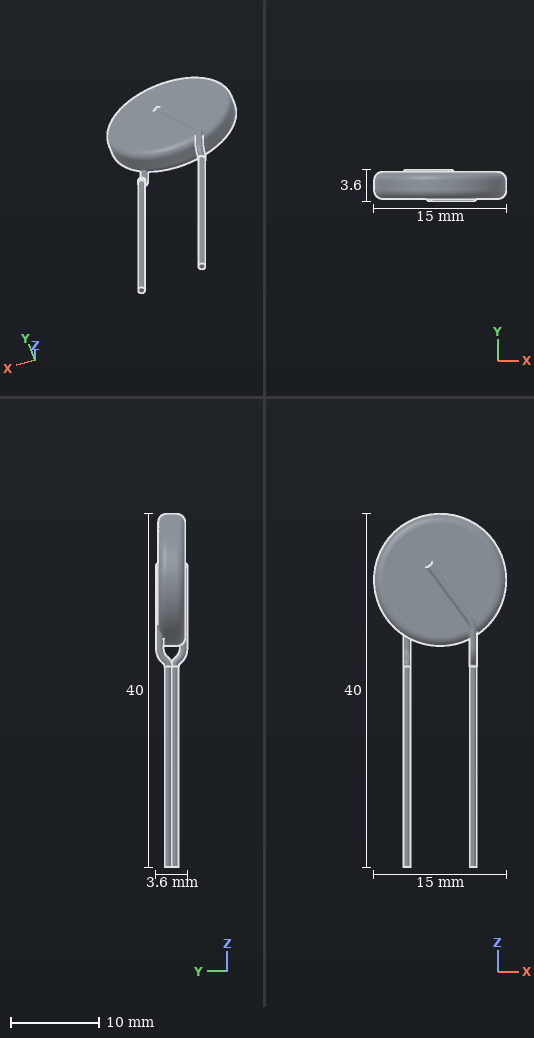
import cadquery as cq
import math

disc_diameter = 15.0
disc_thickness = 3.1
rim_radius = 1.0

lead_pitch = 7.5
wire_diameter = 0.8
coat_diameter = 0.9
overall_depth = 3.6
overall_height = 40.01

slant_angle = math.radians(36.5)
slant_overrun = 2.0
slant_bend_radius = 2.2
crimp_top_z = -7.75
crimp_angle = math.radians(53)
crimp_upper_radius = 1.74
coat_tail_length = 0.1
coat_taper_length = 0.1
coat_fillet_radius = 0.2
on_face_tolerance = 1e-4

lead_x = lead_pitch / 2
face_y = -(overall_depth - coat_diameter) / 2
tail_y = -wire_diameter / 2
lead_bottom_z = disc_diameter / 2 - overall_height


def make_disc():
    """Flat disc with both rims rounded."""
    back_face = cq.Workplane("XZ", origin=(0, disc_thickness / 2, 0))
    disc = back_face.circle(disc_diameter / 2).extrude(disc_thickness)
    return disc.edges("%CIRCLE").fillet(rim_radius)


def bend_point(centre, radius, angle):
    """Point of a YZ-plane bend at the given angle from the +Y direction."""
    return cq.Vector(lead_x, centre.y + radius * math.cos(angle), centre.z + radius * math.sin(angle))


def slanted_edges():
    """Slanted run across the disc face, bent to vertical, down to the crimp."""
    direction = cq.Vector(math.sin(slant_angle), 0, -math.cos(slant_angle))
    start = direction * -slant_overrun + cq.Vector(0, face_y, 0)
    corner = cq.Vector(lead_x, face_y, -lead_x / math.tan(slant_angle))
    setback = slant_bend_radius * math.tan(slant_angle / 2)
    bend_start = corner - direction * setback
    bend_end = corner - cq.Vector(0, 0, setback)
    crimp_top = cq.Vector(lead_x, face_y, crimp_top_z)
    return [
        cq.Edge.makeLine(start, bend_start),
        cq.Edge.makeTangentArc(bend_start, direction, bend_end),
        cq.Edge.makeLine(bend_end, crimp_top),
    ]


def crimp_edges():
    """S-bend from the disc face in to the tail line, then a short straight tail."""
    lean = 1 - math.cos(crimp_angle)
    crimp_lower_radius = (tail_y - face_y) / lean - crimp_upper_radius
    upper_centre = cq.Vector(lead_x, face_y + crimp_upper_radius, crimp_top_z)
    drop = (crimp_upper_radius + crimp_lower_radius) * math.sin(crimp_angle)
    lower_centre = cq.Vector(lead_x, tail_y - crimp_lower_radius, crimp_top_z - drop)

    top = bend_point(upper_centre, crimp_upper_radius, math.pi)
    middle = bend_point(upper_centre, crimp_upper_radius, math.pi + crimp_angle)
    bottom = bend_point(lower_centre, crimp_lower_radius, 0)
    upper_mid = bend_point(upper_centre, crimp_upper_radius, math.pi + crimp_angle / 2)
    lower_mid = bend_point(lower_centre, crimp_lower_radius, crimp_angle / 2)
    return [
        cq.Edge.makeThreePointArc(top, upper_mid, middle),
        cq.Edge.makeThreePointArc(middle, lower_mid, bottom),
        cq.Edge.makeLine(bottom, bottom - cq.Vector(0, 0, coat_tail_length)),
    ]


def make_lead():
    """Coated, bent lead with a bare straight wire running down from it."""
    path = cq.Wire.assembleEdges(slanted_edges() + crimp_edges())
    section = cq.Plane(origin=path.startPoint(), xDir=(0, 1, 0), normal=path.tangentAt(0))
    coat = cq.Workplane(section).circle(coat_diameter / 2).sweep(cq.Workplane(path))

    tail_end = path.endPoint()
    down = cq.Vector(0, 0, -1)
    taper = cq.Solid.makeCone(coat_diameter / 2, wire_diameter / 2, coat_taper_length, tail_end, down)
    wire = cq.Solid.makeCylinder(wire_diameter / 2, tail_end.z - lead_bottom_z, tail_end, down)
    return coat.union(cq.Workplane(taper)).union(cq.Workplane(wire))


def blend_leads(body):
    """Fillet the coated leads into both flat faces and around the rim they cross."""

    def on_disc_face(edge):
        return math.isclose(abs(edge.Center().y), disc_thickness / 2, abs_tol=on_face_tolerance)

    return body.edges("%LINE").filter(on_disc_face).fillet(coat_fillet_radius)


front_lead = make_lead()
back_lead = front_lead.rotate((0, 0, 0), (0, 0, 1), 180)

result = blend_leads(make_disc().union(front_lead).union(back_lead))